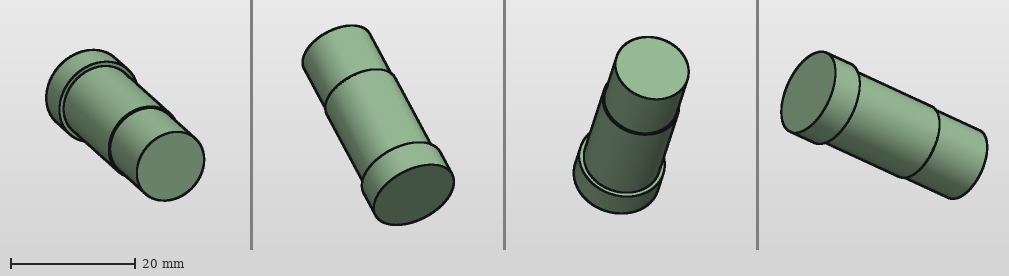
import cadquery as cq

total_length = 32.0
head_length = 5.0
tail_length = 10.0
body_length = total_length - head_length - tail_length

head_diameter = 14.0
body_diameter = 12.5
tail_diameter = 12.0


def cylinder_along_x(start, length, diameter):
    """Solid cylinder on the X axis, running from start toward +X."""
    return cq.Workplane("YZ", origin=(start, 0, 0)).circle(diameter / 2).extrude(length)


head = cylinder_along_x(0, head_length, head_diameter)
body = cylinder_along_x(head_length, body_length, body_diameter)
tail = cylinder_along_x(head_length + body_length, tail_length, tail_diameter)

result = head.union(body).union(tail)